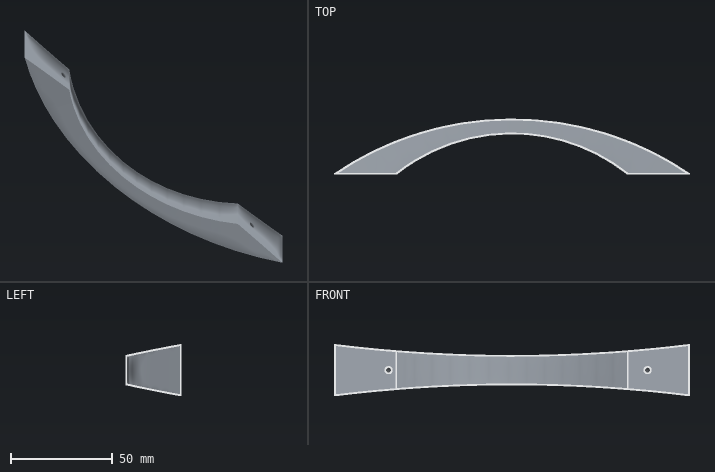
import cadquery as cq
import math

length = 175.0
rise = 27.0
crown_thickness = 7.0
opening = 114.5
end_height = 25.0
waist_height = 14.2
hole_spacing = 128.0
hole_diameter = 3.2
hole_offset = 3.0
hole_depth = 8.0
drill_point_angle = 118.0

hole_radius = hole_diameter / 2
drill_point_length = hole_radius / math.tan(math.radians(drill_point_angle / 2))

half_length = length / 2
half_opening = opening / 2
half_end = end_height / 2
half_waist = waist_height / 2
inner_rise = rise - crown_thickness


def make_bow():
    """Crescent between the outer and inner arcs, extruded along Z."""
    return (
        cq.Workplane("XY")
        .moveTo(-half_length, 0)
        .threePointArc((0, rise), (half_length, 0))
        .lineTo(half_opening, 0)
        .threePointArc((0, inner_rise), (-half_opening, 0))
        .close()
        .extrude(half_end, both=True)
    )


def make_waisted_envelope():
    """Block whose top and bottom curve inward to the waist at X = 0."""
    return (
        cq.Workplane("XZ")
        .moveTo(-half_length, half_end)
        .threePointArc((0, half_waist), (half_length, half_end))
        .lineTo(half_length, -half_end)
        .threePointArc((0, -half_waist), (-half_length, -half_end))
        .close()
        .extrude(-rise)
    )


def make_drilled_hole(x):
    """Cylinder with a conical tip, running from the foot at x toward +Y."""
    return (
        cq.Workplane("XY", origin=(x, 0, 0))
        .lineTo(hole_radius, 0)
        .lineTo(hole_radius, hole_depth)
        .lineTo(0, hole_depth + drill_point_length)
        .close()
        .revolve(360, (0, 0, 0), (0, 1, 0))
    )


result = make_bow().intersect(make_waisted_envelope())
for side in (-1, 1):
    result = result.cut(make_drilled_hole(hole_offset + side * hole_spacing / 2))